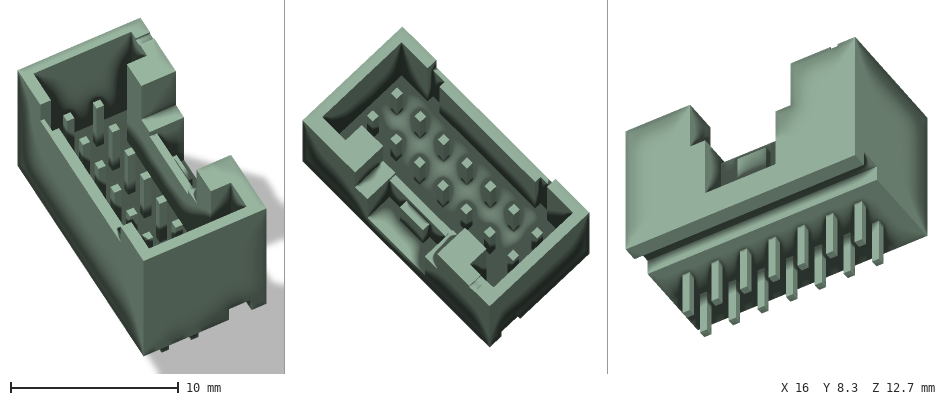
import cadquery as cq

length = 16
depth = 8.3
body_height = 9.6
floor_height = 1.92
side_wall = 0.67
front_wall = 0.72
rear_wall = 2.34

pocket_wall = 0.98
pocket_inner_x = 5.33

front_gap_length = 10.2
front_gap_drop = 1.6
groove_width = 1.0
groove_depth = 0.45

step_gap_length = 7.0
step_drop = 3.4
well_length = 4.91
latch_wall_thickness = 0.5
latch_wall_drop = 3.8
bump_length = 1.98
bump_depth = 0.56
bump_drop = 0.8

mark_x = -6.51
mark_width = 0.51
mark_depth = 0.16

slot_rear_gap = 1.0
slot_width = 1.52
slot_height = 1.07

pin_columns = 7
pin_rows = 2
pin_pitch = 2.0
pin_size = 0.5
pin_front_y = 2.4
pin_below = 3.1
pin_top = 5.8


def block(x_range, y_range, z_range):
    """Box spanning the given (low, high) range along each axis."""
    sizes = [high - low for low, high in (x_range, y_range, z_range)]
    corner = (x_range[0], y_range[0], z_range[0])
    return cq.Workplane("XY").box(*sizes, centered=False).translate(corner)


def centred(size, middle=0):
    """Range of the given size about a middle value."""
    return (middle - size / 2, middle + size / 2)


def cut_cavity(body):
    inside_length = length - 2 * side_wall
    cavity_z = (floor_height, body_height)
    rear_y = depth - rear_wall
    body = body.cut(block(centred(inside_length), (front_wall, rear_y), cavity_z))
    pocket_y = (rear_y, depth - pocket_wall)
    body = body.cut(block((-inside_length / 2, -pocket_inner_x), pocket_y, cavity_z))
    return body.cut(block((pocket_inner_x, inside_length / 2), pocket_y, cavity_z))


def cut_front_gap(body):
    gap_z = (body_height - front_gap_drop, body_height)
    body = body.cut(block(centred(front_gap_length), (0, front_wall), gap_z))
    for side in (-1, 1):
        groove_x = centred(groove_width, side * (front_gap_length - groove_width) / 2)
        groove_y = (front_wall - groove_depth, front_wall)
        body = body.cut(block(groove_x, groove_y, (floor_height, body_height)))
    return body


def cut_rear_opening(body):
    inner_y = depth - rear_wall
    latch_y = inner_y + latch_wall_thickness
    step_z = (body_height - step_drop, body_height)
    body = body.cut(block(centred(step_gap_length), (inner_y, depth), step_z))
    latch_top = body_height - latch_wall_drop
    body = body.cut(block(centred(well_length), (inner_y, latch_y), (latch_top, body_height)))
    body = body.cut(block(centred(well_length), (latch_y, depth), (floor_height, body_height)))
    bump_z = (floor_height, latch_top - bump_drop)
    bump = block(centred(bump_length), (latch_y, latch_y + bump_depth), bump_z)
    return body.union(bump)


def cut_contact_mark(body):
    mark_z = (body_height - mark_depth, body_height)
    return body.cut(block(centred(mark_width, mark_x), (depth - pocket_wall, depth), mark_z))


def cut_underside_slot(body):
    slot_rear = depth - slot_rear_gap
    return body.cut(block(centred(length), (slot_rear - slot_width, slot_rear), (0, slot_height)))


def add_pins(body):
    for column in range(pin_columns):
        pin_x = (column - (pin_columns - 1) / 2) * pin_pitch
        for row in range(pin_rows):
            pin_y = pin_front_y + row * pin_pitch
            pin = block(centred(pin_size, pin_x), centred(pin_size, pin_y), (-pin_below, pin_top))
            body = body.union(pin)
    return body


result = block(centred(length), (0, depth), (0, body_height))
result = cut_cavity(result)
result = cut_front_gap(result)
result = cut_rear_opening(result)
result = cut_contact_mark(result)
result = cut_underside_slot(result)
result = add_pins(result)